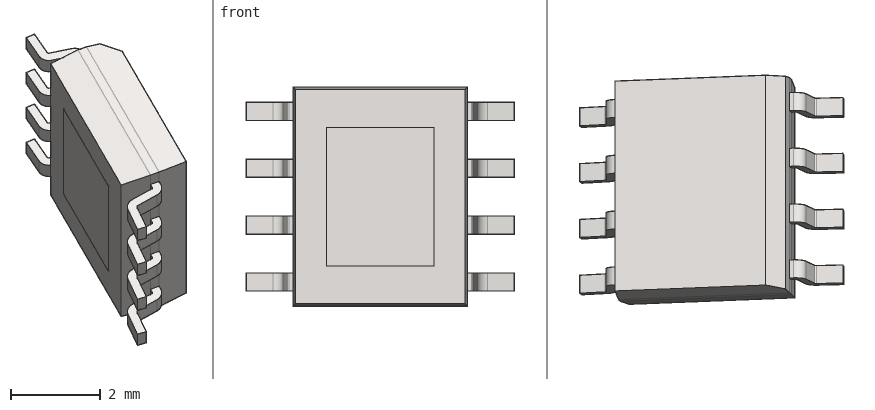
import cadquery as cq
import math


overall_width = 6.0
overall_height = 1.7
housing_width = 3.9
housing_length = 4.9
housing_clearance = 0.1

lead_thickness = 0.21
lead_width = 0.41
lead_pitch = 1.27
leads_per_side = 4
shoulder_length = 0.085
foot_length = 0.59
foot_tilt = math.radians(4)
inner_bend_radius = 0.04
outer_bend_radius = inner_bend_radius + lead_thickness

half_height = (overall_height - housing_clearance - lead_thickness) / 2
draft_angle = 5.0
belt_bottom = housing_clearance + half_height
belt_top = belt_bottom + lead_thickness
bevel_width = 0.345
bevel_depth = 0.375

pad_width = 2.4
pad_length = 3.1
pad_thickness = 0.1


def plate(width, length, y_start, height, taper=0.0):
    """Rectangular block rising along Y from y_start; a negative height grows it downwards."""
    direction = math.copysign(1.0, height)
    plane = cq.Plane(origin=(0, y_start, 0), xDir=(1, 0, 0), normal=(0, direction, 0))
    return cq.Workplane(plane).rect(width, length).extrude(abs(height), taper=taper)


def make_pad():
    return plate(pad_width, pad_length, housing_clearance, pad_thickness)


def make_pin_one_bevel_cutter():
    """Wedge that removes the upper edge along the -X side."""
    draft_slope = math.tan(math.radians(draft_angle))
    top_edge_x = -housing_width / 2 + half_height * draft_slope
    side_shift = bevel_depth * draft_slope
    low_point = (top_edge_x - side_shift, overall_height - bevel_depth)
    high_point = (top_edge_x + bevel_width, overall_height)
    wedge = cq.Workplane("XY").polyline([
        low_point,
        high_point,
        (low_point[0], overall_height),
    ]).close()
    return wedge.extrude(housing_length / 2, both=True)


def make_housing(pad):
    belt = plate(housing_width, housing_length, belt_bottom, lead_thickness)
    upper_half = plate(housing_width, housing_length, belt_top, half_height, draft_angle)
    lower_half = plate(housing_width, housing_length, belt_bottom, -half_height, draft_angle)
    body = belt.union(upper_half).union(lower_half)
    return body.cut(make_pin_one_bevel_cutter()).cut(pad)


def arc_points(center, radius, angles):
    return [
        (center[0] + radius * math.cos(angle), center[1] + radius * math.sin(angle))
        for angle in angles
    ]


def make_lead():
    """One lead on the -X side, centred on Z = 0, butting against the belt of the housing."""
    belt_x = -housing_width / 2
    shoulder_center = (belt_x - shoulder_length, belt_bottom - inner_bend_radius)

    foot_rise = foot_length * math.sin(foot_tilt)
    foot_run = foot_length * math.cos(foot_tilt)
    toe_bottom = (-overall_width / 2 + lead_thickness * math.sin(foot_tilt), 0)
    toe_top = (-overall_width / 2, lead_thickness * math.cos(foot_tilt))
    heel_center = (
        toe_bottom[0] + foot_run - outer_bend_radius * math.sin(foot_tilt),
        foot_rise + outer_bend_radius * math.cos(foot_tilt),
    )

    run = heel_center[0] - shoulder_center[0]
    drop = heel_center[1] - shoulder_center[1]
    radius_sum = inner_bend_radius + outer_bend_radius
    center_direction = math.atan2(drop, run) % (2 * math.pi)
    leg_normal = center_direction - math.acos(radius_sum / math.hypot(run, drop))

    shoulder_start = math.pi / 2
    shoulder_middle = (shoulder_start + leg_normal) / 2
    heel_start = leg_normal + math.pi
    heel_end = 3 * math.pi / 2 + foot_tilt
    heel_middle = (heel_start + heel_end) / 2

    shoulder_angles = (shoulder_start, shoulder_middle, leg_normal)
    heel_angles = (heel_start, heel_middle, heel_end)
    shoulder_upper = arc_points(shoulder_center, outer_bend_radius, shoulder_angles)
    shoulder_lower = arc_points(shoulder_center, inner_bend_radius, shoulder_angles)
    heel_upper = arc_points(heel_center, inner_bend_radius, heel_angles)
    heel_lower = arc_points(heel_center, outer_bend_radius, heel_angles)

    profile = (
        cq.Workplane("XY")
        .moveTo(belt_x, belt_top)
        .lineTo(*shoulder_upper[0])
        .threePointArc(shoulder_upper[1], shoulder_upper[2])
        .lineTo(*heel_upper[0])
        .threePointArc(heel_upper[1], heel_upper[2])
        .lineTo(*toe_top)
        .lineTo(*toe_bottom)
        .lineTo(*heel_lower[2])
        .threePointArc(heel_lower[1], heel_lower[0])
        .lineTo(*shoulder_lower[2])
        .threePointArc(shoulder_lower[1], shoulder_lower[0])
        .lineTo(belt_x, belt_bottom)
        .close()
    )
    return profile.extrude(lead_width / 2, both=True)


def make_leads():
    """Four evenly spaced leads on each side; the +X row mirrors the -X row."""
    left_lead = make_lead()
    right_lead = left_lead.mirror("YZ")
    leads = []
    for index in range(leads_per_side):
        z = (index - (leads_per_side - 1) / 2) * lead_pitch
        for lead in (left_lead, right_lead):
            leads.append(lead.translate((0, 0, z)).val())
    return leads


thermal_pad = make_pad()
housing = make_housing(thermal_pad)
leads = make_leads()

result = cq.Compound.makeCompound([housing.val(), thermal_pad.val(), *leads])